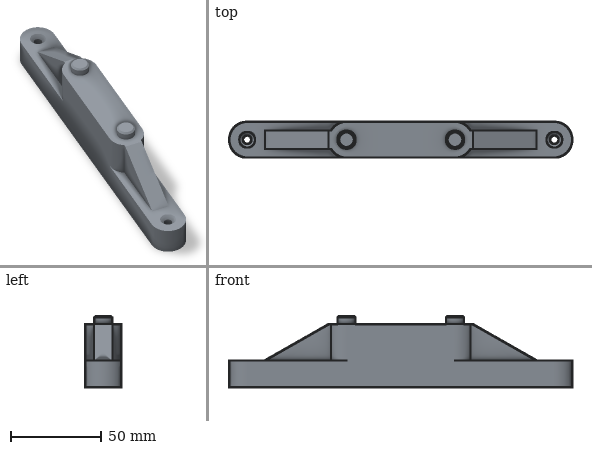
import cadquery as cq

length = 190.0
width = 20.0
base_height = 15.0

block_top = 35.0
pin_spacing = 60.0

pin_diameter = 10.0
pin_top = 39.5
pin_chamfer = 1.0

rib_width = 10.0
rib_foot_x = 75.0

hole_diameter = 4.5
countersink_diameter = 8.7
countersink_angle = 90
hole_spacing = length - width


def centred_pair(spacing):
    """Two points on the X axis, symmetric about the origin."""
    return [(-spacing / 2, 0), (spacing / 2, 0)]


def rounded_bar(overall_length, height):
    """Upright bar of the common width, standing on the XY plane."""
    return cq.Workplane("XY").slot2D(overall_length, width).extrude(height)


def rib(side):
    """Rib sloping from the base to the block top; side is -1 or 1."""
    block_end_x = (pin_spacing + width) / 2
    profile = [
        (side * pin_spacing / 2, base_height),
        (side * rib_foot_x, base_height),
        (side * block_end_x, block_top),
        (side * pin_spacing / 2, block_top),
    ]
    return cq.Workplane("XZ").polyline(profile).close().extrude(rib_width / 2, both=True)


def pins():
    """Two pins with chamfered tips on top of the block."""
    return (
        cq.Workplane("XY", origin=(0, 0, block_top))
        .pushPoints(centred_pair(pin_spacing))
        .circle(pin_diameter / 2)
        .extrude(pin_top - block_top)
        .faces(">Z")
        .chamfer(pin_chamfer)
    )


base = rounded_bar(length, base_height)
block = rounded_bar(pin_spacing + width, block_top)
body = base.union(block)
for side in (-1, 1):
    body = body.union(rib(side))
body = body.union(pins())

result = (
    body.copyWorkplane(cq.Workplane("XY", origin=(0, 0, base_height)))
    .pushPoints(centred_pair(hole_spacing))
    .cskHole(hole_diameter, countersink_diameter, countersink_angle, depth=base_height)
)